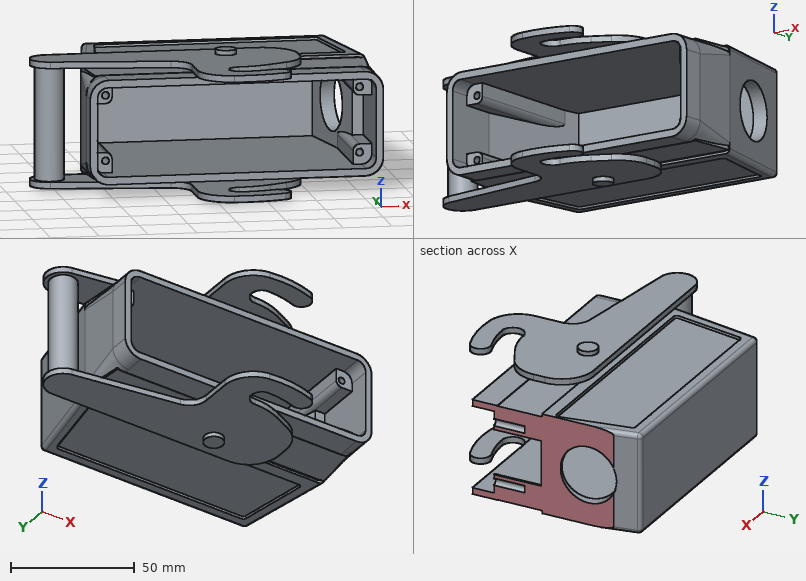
import cadquery as cq
import math


HOOD_TOP = 51.1
BODY_BOTTOM = 7.0
BLEND_BOTTOM = -16.0
BLEND_TOP_RADIUS = 3.1
SKIRT_BOTTOM = -24.9
TOP_HALF_X = 50.0
BODY_HALF_X = 58.2
BODY_HALF_Z = 22.5
BODY_FILLET = 2.0
SKIRT_HALF_X = 60.0
SKIRT_HALF_Z = 21.4
SKIRT_RADIUS = 7.5
SIDE_SLOPE = (BODY_HALF_X - TOP_HALF_X) / (HOOD_TOP - BODY_BOTTOM)

PAD_TOP = 6.6
PAD_BOTTOM = -13.5
PAD_TOP_HALF_X = 58.1
PAD_BOTTOM_HALF_X = 56.1
PAD_HALF_Z = 21.3

LABEL_TOP = 45.8
LABEL_BOTTOM = 12.5
LABEL_TOP_HALF_X = 45.8
LABEL_BOTTOM_HALF_X = 51.5
LABEL_RADIUS = 1.4
LABEL_DEPTH = 1.0
LABEL_DRAFT = 20

CAVITY_HALF_X = 57.1
CAVITY_HALF_Z = 18.3
CAVITY_RADIUS = 4.2
CAVITY_FLOOR = 48.4
FLOOR_LEFT = -48.0
FLOOR_RIGHT = 44.2
LEDGE_INNER_X = 52.5
LEFT_TAPER_START = CAVITY_FLOOR - (CAVITY_HALF_X + FLOOR_LEFT) / SIDE_SLOPE
LEDGE_Y = CAVITY_FLOOR - (LEDGE_INNER_X - FLOOR_RIGHT) / SIDE_SLOPE

PILLAR_INNER_X = 49.4
PILLAR_INNER_Z = 10.1
PILLAR_END = -15.1
PILLAR_RADIUS = 2.7
SCREW_X = 52.0
SCREW_Z = 13.5
SCREW_DIAMETER = 3.0
SCREW_DEPTH = 14.0

ENTRY_DIAMETER = 25.0
ENTRY_X = 48.1
ENTRY_Y = CAVITY_FLOOR - (ENTRY_X - FLOOR_RIGHT) / SIDE_SLOPE
ENTRY_REACH = 14.0

PLATE_INNER_Z = 23.4
PLATE_THICKNESS = 2.7
PLATE_OUTER_Z = PLATE_INNER_Z + PLATE_THICKNESS
PIN_END_Z = 28.0
PIN_DIAMETER = 5.5
PIN_HEAD_DIAMETER = 8.5
PIN_ROOT_Z = 19.9
HANDLE_X = -72.0
HANDLE_Y = 2.2
HANDLE_DIAMETER = 12.0
ARM_END_RADIUS = 8.0
ARM_SLOPE = 8.2
ARM_FILLET = 8.4
SHOULDER_X = 14.1
SHOULDER_RADIUS = 14.5
SHOULDER_UPPER_Y = HANDLE_Y + ARM_END_RADIUS - SHOULDER_RADIUS
SHOULDER_LOWER_Y = -9.7

HOOK_LEFT_X = -17.8
HOOK_OUTER_RADIUS = 48.1
SLOT_OUTER_RADIUS = 39.3
SLOT_INNER_RADIUS = 29.5
HOOK_TIP_ANGLE = -70.3
HEEL_RADIUS = 14.0

PIVOT = (0, 0)


def polar(center, radius, degrees):
    angle = math.radians(degrees)
    return (center[0] + radius * math.cos(angle), center[1] + radius * math.sin(angle))


def arc(path, center, radius, start, end):
    """Continue a path along an arc between two angles."""
    middle = polar(center, radius, (start + end) / 2)
    return path.threePointArc(middle, polar(center, radius, end))


def trapezoid(bottom, top, bottom_half_x, top_half_x):
    points = [(-bottom_half_x, bottom), (bottom_half_x, bottom), (top_half_x, top), (-top_half_x, top)]
    return cq.Sketch().polygon(points + points[:1])


def slab(outline, half_z):
    return cq.Workplane("XY").placeSketch(outline).extrude(half_z, both=True)


def rounded_rectangle(half_x, half_z, radius):
    return cq.Sketch().rect(2 * half_x, 2 * half_z).vertices().fillet(radius)


def rounded_prism(top, bottom, half_x, half_z, radius):
    """Prism along Y with rounded corners."""
    section = rounded_rectangle(half_x, half_z, radius)
    return cq.Workplane("XZ", origin=(0, top, 0)).placeSketch(section).extrude(top - bottom)


def block(x_range, y_range, z_range):
    size = [high - low for low, high in (x_range, y_range, z_range)]
    corner = (x_range[0], y_range[0], z_range[0])
    return cq.Workplane("XY").box(*size, centered=False).translate(corner)


def on_both_faces(shape):
    return shape.union(shape.mirror("XY"))


def on_four_corners(shape):
    return on_both_faces(shape.union(shape.mirror("YZ")))


def label_recess():
    """Label pocket whose walls lean inward toward its floor."""
    outline = trapezoid(LABEL_BOTTOM, LABEL_TOP, LABEL_BOTTOM_HALF_X, LABEL_TOP_HALF_X)
    mouth = outline.vertices().fillet(LABEL_RADIUS)
    surface = cq.Workplane("XY", origin=(0, 0, BODY_HALF_Z))
    return surface.placeSketch(mouth).extrude(-LABEL_DEPTH, taper=LABEL_DRAFT)


def upper_body():
    outline = trapezoid(BODY_BOTTOM, HOOD_TOP, BODY_HALF_X, TOP_HALF_X)
    body = slab(outline, BODY_HALF_Z).edges("not(<Y)").fillet(BODY_FILLET)
    return body.cut(on_both_faces(label_recess()))


def blend():
    """Middle part whose corners sharpen from the skirt up to the upper body."""
    wide = rounded_rectangle(SKIRT_HALF_X, SKIRT_HALF_Z, SKIRT_RADIUS)
    narrow = rounded_rectangle(BODY_HALF_X, SKIRT_HALF_Z, BLEND_TOP_RADIUS)
    narrow = narrow.moved(cq.Location(cq.Vector(0, 0, BLEND_BOTTOM - BODY_BOTTOM)))
    start = cq.Workplane("XZ", origin=(0, BLEND_BOTTOM, 0))
    middle = start.placeSketch(wide, narrow).loft(ruled=True)
    above_pad = block(
        (-SKIRT_HALF_X, SKIRT_HALF_X), (PAD_BOTTOM, PAD_TOP), (PAD_HALF_Z, BODY_HALF_Z)
    )
    pad = trapezoid(PAD_BOTTOM, PAD_TOP, PAD_BOTTOM_HALF_X, PAD_TOP_HALF_X)
    return middle.cut(on_both_faces(above_pad)).union(slab(pad, PAD_HALF_Z))


def skirt():
    return rounded_prism(BLEND_BOTTOM, SKIRT_BOTTOM, SKIRT_HALF_X, SKIRT_HALF_Z, SKIRT_RADIUS)


def pillars():
    pillar = block(
        (PILLAR_INNER_X, SKIRT_HALF_X), (PILLAR_END, HOOD_TOP), (PILLAR_INNER_Z, SKIRT_HALF_Z)
    )
    return on_four_corners(pillar.edges("|Y and <X and <Z").fillet(PILLAR_RADIUS))


def cavity():
    outline = [
        (-CAVITY_HALF_X, SKIRT_BOTTOM),
        (-CAVITY_HALF_X, LEFT_TAPER_START),
        (FLOOR_LEFT, CAVITY_FLOOR),
        (FLOOR_RIGHT, CAVITY_FLOOR),
        (LEDGE_INNER_X, LEDGE_Y),
        (CAVITY_HALF_X, LEDGE_Y),
        (CAVITY_HALF_X, SKIRT_BOTTOM),
    ]
    space = cq.Workplane("XY").polyline(outline).close().extrude(CAVITY_HALF_Z, both=True)
    envelope = rounded_prism(HOOD_TOP, SKIRT_BOTTOM, CAVITY_HALF_X, CAVITY_HALF_Z, CAVITY_RADIUS)
    return space.intersect(envelope).cut(pillars())


def screw_holes():
    plane = cq.Workplane("XZ", origin=(0, PILLAR_END + SCREW_DEPTH, 0))
    corners = plane.rect(2 * SCREW_X, 2 * SCREW_Z, forConstruction=True).vertices()
    return corners.circle(SCREW_DIAMETER / 2).extrude(SCREW_DEPTH)


def cable_entry():
    outward = cq.Vector(1, SIDE_SLOPE, 0).normalized()
    start = cq.Vector(ENTRY_X, ENTRY_Y, 0) - outward * ENTRY_REACH
    return cq.Solid.makeCylinder(ENTRY_DIAMETER / 2, 2 * ENTRY_REACH, start, outward)


def plate_outline():
    arm_end = (HANDLE_X, HANDLE_Y)
    upper_shoulder = (SHOULDER_X, SHOULDER_UPPER_Y)
    lower_shoulder = (SHOULDER_X, SHOULDER_LOWER_Y)
    spacing = math.hypot(*lower_shoulder)
    bearing = math.degrees(math.atan2(SHOULDER_LOWER_Y, SHOULDER_X))
    swing = math.degrees(math.acos((SLOT_INNER_RADIUS - SHOULDER_RADIUS) / spacing))
    jaw_angle = bearing - swing
    slot_middle = (SLOT_INNER_RADIUS + SLOT_OUTER_RADIUS) / 2
    slot_end_radius = (SLOT_OUTER_RADIUS - SLOT_INNER_RADIUS) / 2
    tip = polar(PIVOT, (SLOT_OUTER_RADIUS + HOOK_OUTER_RADIUS) / 2, HOOK_TIP_ANGLE)
    tip_radius = (HOOK_OUTER_RADIUS - SLOT_OUTER_RADIUS) / 2
    heel_x = HOOK_LEFT_X + HEEL_RADIUS
    heel_y = -math.sqrt((HOOK_OUTER_RADIUS - HEEL_RADIUS) ** 2 - heel_x ** 2)
    heel = (heel_x, heel_y)
    heel_angle = math.degrees(math.atan2(heel_y, heel_x))
    arm_angle = 270 - ARM_SLOPE
    arm_start = polar(arm_end, ARM_END_RADIUS, arm_angle)
    armpit_y = arm_start[1] - (HOOK_LEFT_X - arm_start[0]) * math.tan(math.radians(ARM_SLOPE))
    armpit = (HOOK_LEFT_X, armpit_y)

    path = cq.Workplane("XY").moveTo(*polar(arm_end, ARM_END_RADIUS, 90))
    path = path.lineTo(*polar(upper_shoulder, SHOULDER_RADIUS, 90))
    path = arc(path, upper_shoulder, SHOULDER_RADIUS, 90, 0)
    path = path.lineTo(*polar(lower_shoulder, SHOULDER_RADIUS, 0))
    path = arc(path, lower_shoulder, SHOULDER_RADIUS, 0, jaw_angle)
    path = path.lineTo(*polar(PIVOT, SLOT_INNER_RADIUS, jaw_angle))
    path = arc(path, PIVOT, SLOT_INNER_RADIUS, jaw_angle, -90)
    path = arc(path, (0, -slot_middle), slot_end_radius, 90, 270)
    path = arc(path, PIVOT, SLOT_OUTER_RADIUS, -90, HOOK_TIP_ANGLE)
    path = arc(path, tip, tip_radius, HOOK_TIP_ANGLE + 180, HOOK_TIP_ANGLE)
    path = arc(path, PIVOT, HOOK_OUTER_RADIUS, HOOK_TIP_ANGLE, heel_angle)
    path = arc(path, heel, HEEL_RADIUS, heel_angle, -180)
    path = path.lineTo(*armpit).lineTo(*arm_start)
    path = arc(path, arm_end, ARM_END_RADIUS, arm_angle, 90)
    return path.close(), armpit


def lever():
    outline, armpit = plate_outline()
    plate = outline.extrude(PLATE_THICKNESS)
    armpit_edge = cq.selectors.NearestToPointSelector((*armpit, PLATE_THICKNESS / 2))
    plate = plate.edges(armpit_edge).fillet(ARM_FILLET).translate((0, 0, PLATE_INNER_Z))
    pin = cq.Workplane("XY", origin=(0, 0, PIN_ROOT_Z)).circle(PIN_DIAMETER / 2)
    pin = pin.extrude(PIN_END_Z - PIN_ROOT_Z)
    head = cq.Workplane("XY", origin=(0, 0, PLATE_OUTER_Z)).circle(PIN_HEAD_DIAMETER / 2)
    head = head.extrude(PIN_END_Z - PLATE_OUTER_Z)
    handle = cq.Workplane("XY", origin=(HANDLE_X, HANDLE_Y, -PLATE_INNER_Z))
    handle = handle.circle(HANDLE_DIAMETER / 2).extrude(2 * PLATE_INNER_Z)
    return on_both_faces(plate.union(pin).union(head)).union(handle)


hood = upper_body().union(blend()).union(skirt())
hood = hood.cut(cavity()).cut(screw_holes()).cut(cq.Workplane(cable_entry()))
result = hood.union(lever())